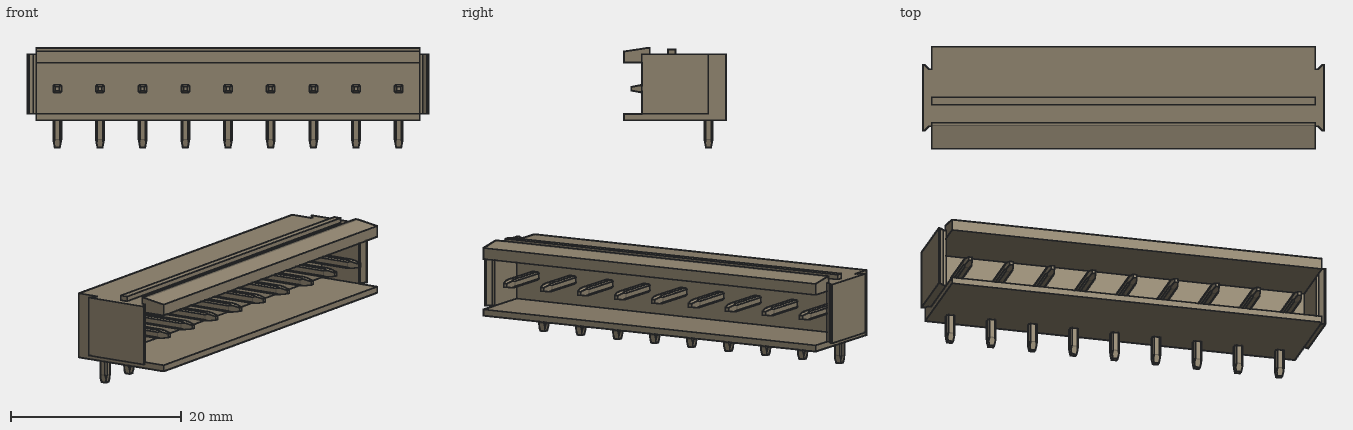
import cadquery as cq

overall_length = 47.0
rail_depth = 1.05
housing_depth = 12.0
housing_height = 7.75
floor_thickness = 0.75
roof_thickness = 1.0
back_wall_thickness = 4.15

ridge_back = 5.9
ridge_width = 0.9
ridge_height = 0.55

lip_back = 8.95
lip_flat = 0.3
lip_height = 0.75
lip_front_height = 0.35

rail_back = 2.1
rail_edge = 0.2
rail_flare = 0.5

pin_count = 9
pin_span = 40.0
pin_width = 1.0
pin_bevel = 0.2
leg_inset = back_wall_thickness / 2
leg_drop = 3.2
leg_tip_length = 1.0
leg_tip_width = 0.6
contact_level = 3.7
contact_reach = 11.15
contact_tip_length = 1.4
contact_tip_width = 0.4

housing_length = overall_length - 2 * rail_depth
roof_underside = housing_height - roof_thickness
pin_pitch = pin_span / (pin_count - 1)
pin_half = pin_width / 2


def housing_shell():
    """C-shaped channel, open at the front, with the ridge and latching lip on its roof."""
    ridge_front = ridge_back + ridge_width
    ridge_top = housing_height + ridge_height
    lip_top = housing_height + lip_height
    profile = [
        (0, 0),
        (-housing_depth, 0),
        (-housing_depth, floor_thickness),
        (-back_wall_thickness, floor_thickness),
        (-back_wall_thickness, roof_underside),
        (-housing_depth, roof_underside),
        (-housing_depth, housing_height + lip_front_height),
        (-lip_back - lip_flat, lip_top),
        (-lip_back, lip_top),
        (-lip_back, housing_height),
        (-ridge_front, housing_height),
        (-ridge_front, ridge_top),
        (-ridge_back, ridge_top),
        (-ridge_back, housing_height),
        (0, housing_height),
    ]
    return cq.Workplane("YZ").polyline(profile).close().extrude(housing_length / 2, both=True)


def end_rail(side):
    """Dovetail rail that closes one end of the channel; side is -1 or +1."""
    inner = side * housing_length / 2
    outer = side * overall_length / 2
    flange = outer - side * rail_edge
    neck = flange - side * rail_flare
    rail_front = housing_depth - rail_back
    profile = [
        (inner, -rail_back - rail_flare),
        (neck, -rail_back - rail_flare),
        (flange, -rail_back),
        (outer, -rail_back),
        (outer, -rail_front),
        (flange, -rail_front),
        (neck, -rail_front + rail_flare),
        (inner, -rail_front + rail_flare),
    ]
    rail = cq.Workplane("XY").workplane(offset=floor_thickness).polyline(profile).close()
    return rail.extrude(housing_height - floor_thickness)


def tapered_bar(plane, length, tip_length, tip_width):
    """Square bar along the plane's normal, its edges beveled and its end tapered on four sides."""
    bar = cq.Workplane(plane).rect(pin_width, pin_width).extrude(length)
    bar = bar.edges(cq.selectors.ParallelDirSelector(plane.zDir)).chamfer(pin_bevel)
    shank_length = length - tip_length
    shank = cq.Workplane(plane).rect(pin_width, pin_width).extrude(shank_length)
    tip = (
        cq.Workplane(plane)
        .workplane(offset=shank_length)
        .rect(pin_width, pin_width)
        .workplane(offset=tip_length)
        .rect(tip_width, tip_width)
        .loft(ruled=True)
    )
    envelope = shank.union(tip)
    return bar.intersect(envelope)


def angled_pin(x):
    """L-shaped pin: a leg down through the base and a contact forward into the channel."""
    leg_plane = cq.Plane((x, -leg_inset, contact_level + pin_half), xDir=(1, 0, 0), normal=(0, 0, -1))
    leg = tapered_bar(leg_plane, contact_level + pin_half + leg_drop, leg_tip_length, leg_tip_width)
    contact_plane = cq.Plane((x, pin_half - leg_inset, contact_level), xDir=(1, 0, 0), normal=(0, -1, 0))
    contact_length = contact_reach - leg_inset + pin_half
    contact = tapered_bar(contact_plane, contact_length, contact_tip_length, contact_tip_width)
    return leg.union(contact)


pins = [angled_pin(-pin_span / 2 + index * pin_pitch) for index in range(pin_count)]

housing = housing_shell().union(end_rail(-1)).union(end_rail(1))
for pin in pins:
    housing = housing.cut(pin)

result = cq.Compound.makeCompound([housing.val(), *[pin.val() for pin in pins]])